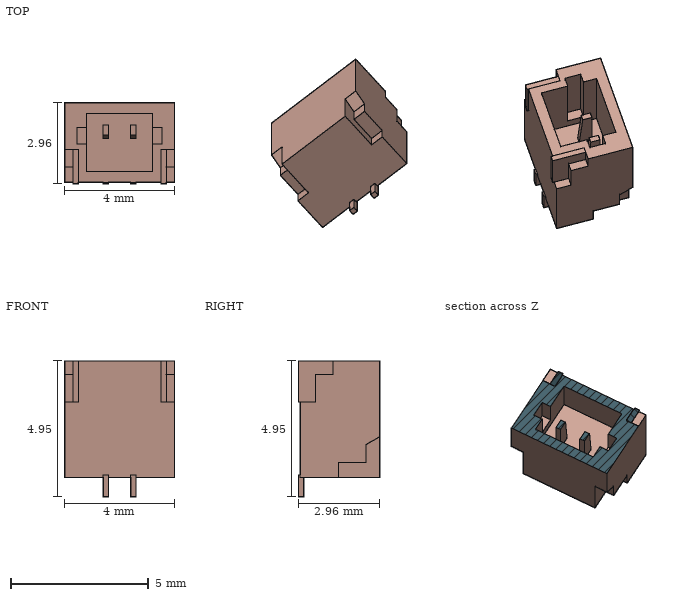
import cadquery as cq

width = 4.0
depth = 2.9
height = 4.25
front = -depth

front_overhang = 0.06

cavity_width = 2.4
cavity_wall = 0.4
floor_height = 1.5
key_slot_span = 3.1
key_slot_back = -0.9
key_slot_front = -1.5
key_slot_depth = 2.4

recess_depth = 0.3
tab_thickness = 0.2
upper_step_y = -1.7
lower_step_y = -2.35
upper_step_drop = 0.5
tab_length = 1.5

notch_depth = 0.5
notch_top = 1.49
notch_shoulder = 1.2
notch_shelf = 0.55
notch_inner_y = -0.5
notch_front_y = -1.5

pin_pitch = 1.0
pin_width = 0.2
tail_thickness = 0.2
tail_length = 0.7
foot_height = 0.1
post_back = -0.82
post_tip_front = -1.17
post_base_front = -1.305
post_top = 3.0


def yz_plate(points, x_start, x_length):
    """Extrude a (Y, Z) outline along +X from x_start."""
    return cq.Workplane("YZ", origin=(x_start, 0, 0)).polyline(points).close().extrude(x_length)


def centred_box(x_size, y_front, y_back, z_bottom, z_top):
    """Box centred on X between the given Y and Z limits."""
    box = cq.Workplane("XY").box(x_size, y_back - y_front, z_top - z_bottom, centered=(True, False, False))
    return box.translate((0, y_front, z_bottom))


def both_sides(shape):
    """Return the shape together with its mirror image across X = 0."""
    return shape, shape.mirror("YZ")


def stepped_outline(front_y):
    """Outline shared by the corner recess and its tab, which differ only in how far forward they reach."""
    upper_step_z = height - upper_step_drop
    tab_bottom = height - tab_length
    return [
        (upper_step_y, height),
        (upper_step_y, upper_step_z),
        (lower_step_y, upper_step_z),
        (lower_step_y, tab_bottom),
        (front_y, tab_bottom),
        (front_y, height),
    ]


def make_cavity():
    """Main cavity with a shallower keying slot on each side."""
    pocket = centred_box(cavity_width, front + cavity_wall, -cavity_wall, floor_height, height)
    key_slots = centred_box(key_slot_span, key_slot_front, key_slot_back, height - key_slot_depth, height)
    return pocket.union(key_slots)


def make_recess():
    """Recess at the -X front upper corner."""
    return yz_plate(stepped_outline(front), -width / 2, recess_depth)


def make_notch():
    """Stepped notch in the -X side at the lower back, with a sloped top."""
    outline = [
        (0, notch_top),
        (notch_inner_y, notch_shoulder),
        (notch_inner_y, notch_shelf),
        (notch_front_y, notch_shelf),
        (notch_front_y, 0),
        (0, 0),
    ]
    return yz_plate(outline, -width / 2, notch_depth)


def make_pin(x_centre):
    """Contact moulded into the housing: tapered post, foot along the underside and tail at the front."""
    tail_front = front - front_overhang
    tail_back = tail_front + tail_thickness
    outline = [
        (post_back, 0),
        (post_back, post_top),
        (post_tip_front, post_top),
        (post_base_front, floor_height),
        (post_base_front, foot_height),
        (tail_front, foot_height),
        (tail_front, -tail_length),
        (tail_back, -tail_length),
        (tail_back, 0),
    ]
    return yz_plate(outline, x_centre - pin_width / 2, pin_width)


def make_tab():
    """Tab plate at the -X front upper corner."""
    return yz_plate(stepped_outline(front - front_overhang), -width / 2 + recess_depth, tab_thickness)


def make_housing(tabs):
    """Housing with its moulded-in contacts and a seat for each tab."""
    housing = centred_box(width, front, 0, 0, height).cut(make_cavity())
    for cutter in (*both_sides(make_recess()), *both_sides(make_notch()), *tabs):
        housing = housing.cut(cutter)
    for side in (-1, 1):
        housing = housing.union(make_pin(side * pin_pitch / 2))
    return housing


tabs = both_sides(make_tab())
housing = make_housing(tabs)

result = cq.Compound.makeCompound([housing.val(), *[tab.val() for tab in tabs]])